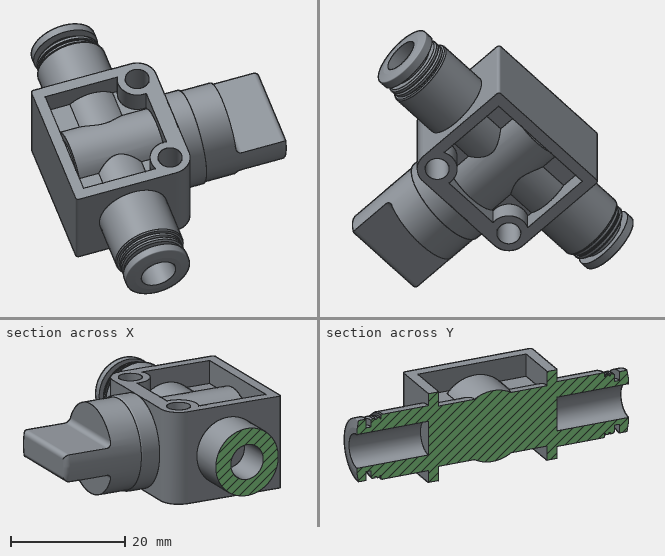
import cadquery as cq


body_width = 25.0
body_height = 17.0
body_front = -10.5
body_back = 11.5
front_edge_radius = 0.5
mount_hole_diameter = 4.2
mount_hole_x = 9.0
mount_hole_y = 8.0
corner_radius = body_width / 2 - mount_hole_x

pocket_width = 21.0
pocket_front = -8.5
pocket_back = 8.5
pocket_depth = body_height / 4
mount_boss_radius = corner_radius
valve_core_diameter = 13.6
valve_core_front = -7.5
stem_core_diameter = 10.9
flow_core_diameter = 11.6

port_diameter = 12.5
port_end = 21.7
port_edge_length = 0.3
port_edge_drop = 0.15
ridge_diameter = 11.5
ridge_count = 2
ridge_length = 0.95
ridge_gap = 0.15
ridge_chamfer = 0.3
ridge_end = port_end + ridge_count * ridge_length
neck_diameter = 8.45
collar_diameter = 11.8
collar_start = 24.55
collar_end = 26.35
collar_edge_radius = 0.2
face_cone_height = 0.25
face_flat_diameter = neck_diameter
bore_diameter = 6.35
bore_end = body_width / 2

knob_base_diameter = 17.0
knob_base_end = 15.0
knob_base_edge_radius = 0.25
knob_diameter = 16.5
grip_start = 20.7
grip_end = 30.0
grip_thickness = 5.0
grip_root_radius = 1.0
grip_tip_radius = 0.9


def cylinder_along_y(diameter, start, end):
    return cq.Workplane("XZ", origin=(0, start, 0)).circle(diameter / 2).extrude(start - end)


def make_body():
    length = body_back - body_front
    block = cq.Workplane("XY").box(body_width, length, body_height)
    block = block.translate((0, (body_front + body_back) / 2, 0))
    block = block.edges("|Z and >Y").fillet(corner_radius)
    return block.edges("|Z and <Y").fillet(front_edge_radius)


def mount_columns(radius):
    columns = cq.Workplane("XY").workplane(offset=-body_height / 2)
    columns = columns.pushPoints([(-mount_hole_x, mount_hole_y), (mount_hole_x, mount_hole_y)])
    return columns.circle(radius).extrude(body_height)


def make_pockets():
    """Material removed from the top and bottom faces, around the bosses and cores."""
    length = pocket_back - pocket_front
    floor_z = body_height / 2 - pocket_depth
    upper = cq.Workplane("XY").box(pocket_width, length, pocket_depth, centered=(True, True, False))
    upper = upper.translate((0, (pocket_front + pocket_back) / 2, floor_z))
    pockets = upper.union(upper.mirror("XY"))
    pockets = pockets.cut(mount_columns(mount_boss_radius))
    pockets = pockets.cut(cylinder_along_y(valve_core_diameter, valve_core_front, pocket_back))
    pockets = pockets.cut(cylinder_along_y(stem_core_diameter, pocket_front, valve_core_front))
    flow_core = cq.Workplane("YZ").circle(flow_core_diameter / 2).extrude(pocket_width / 2, both=True)
    return pockets.cut(flow_core)


def make_port():
    """Port on the +X side, revolved from (position along X, radius) and starting at the body face."""
    port_radius = port_diameter / 2
    ridge_radius = ridge_diameter / 2
    neck_radius = neck_diameter / 2
    collar_radius = collar_diameter / 2
    cone_base = collar_end - face_cone_height
    root_radius = ridge_radius - ridge_chamfer

    profile = cq.Workplane("XY").moveTo(body_width / 2, 0).lineTo(body_width / 2, port_radius)
    profile = profile.lineTo(port_end - port_edge_length, port_radius)
    profile = profile.lineTo(port_end, port_radius - port_edge_drop)
    profile = profile.lineTo(port_end, root_radius)
    for ridge in range(ridge_count):
        root = port_end + ridge * ridge_length
        inner_end = root + ridge_gap
        outer_end = root + ridge_length
        profile = profile.lineTo(inner_end, root_radius)
        profile = profile.lineTo(inner_end, ridge_radius)
        profile = profile.lineTo(outer_end - ridge_chamfer, ridge_radius)
        profile = profile.lineTo(outer_end, root_radius)
    profile = profile.lineTo(ridge_end, neck_radius)
    profile = profile.lineTo(collar_start, neck_radius)
    profile = profile.lineTo(collar_start, collar_radius)
    profile = profile.lineTo(cone_base - collar_edge_radius, collar_radius)
    profile = profile.tangentArcPoint((collar_edge_radius, -collar_edge_radius))
    profile = profile.lineTo(collar_end, face_flat_diameter / 2)
    profile = profile.lineTo(collar_end, 0).close()
    port = profile.revolve(360, (0, 0, 0), (1, 0, 0))

    bore = cq.Workplane("YZ", origin=(bore_end, 0, 0)).circle(bore_diameter / 2)
    return port.cut(bore.extrude(collar_end - bore_end))


def make_knob():
    base = cylinder_along_y(knob_base_diameter, body_back, knob_base_end)
    base = base.faces(">Y").edges().fillet(knob_base_edge_radius)

    grip = cylinder_along_y(knob_diameter, body_back, grip_end)
    side_height = (knob_diameter - grip_thickness) / 2
    side = cq.Workplane("XY").box(
        knob_diameter, grip_end - grip_start, side_height, centered=(True, False, False)
    )
    side = side.translate((0, grip_start, grip_thickness / 2))
    side = side.edges("|X and <Y and <Z").fillet(grip_root_radius)
    grip = grip.cut(side).cut(side.mirror("XY"))
    grip = grip.faces(">Y").edges().fillet(grip_tip_radius)
    return base.union(grip)


body = make_body().cut(make_pockets()).cut(mount_columns(mount_hole_diameter / 2))
port = make_port()
result = body.union(port).union(port.mirror("YZ")).union(make_knob())